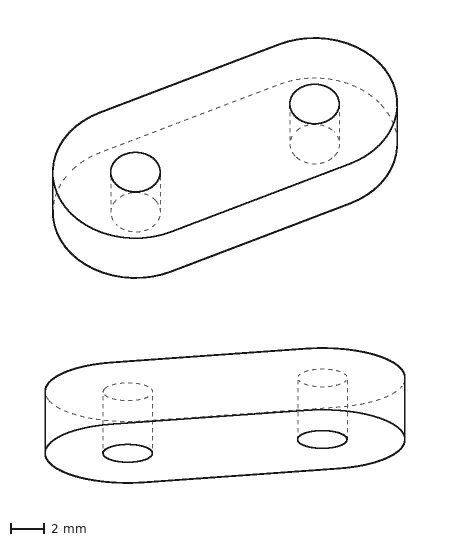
import cadquery as cq

length = 22.0
width = 10.0
thickness = 4.0
hole_diameter = 3.0

hole_spacing = length - width

plate = cq.Workplane("XY").slot2D(length, width, angle=90).extrude(thickness)

result = (
    plate.faces(">Z")
    .workplane()
    .pushPoints([(0, -hole_spacing / 2), (0, hole_spacing / 2)])
    .hole(hole_diameter)
)